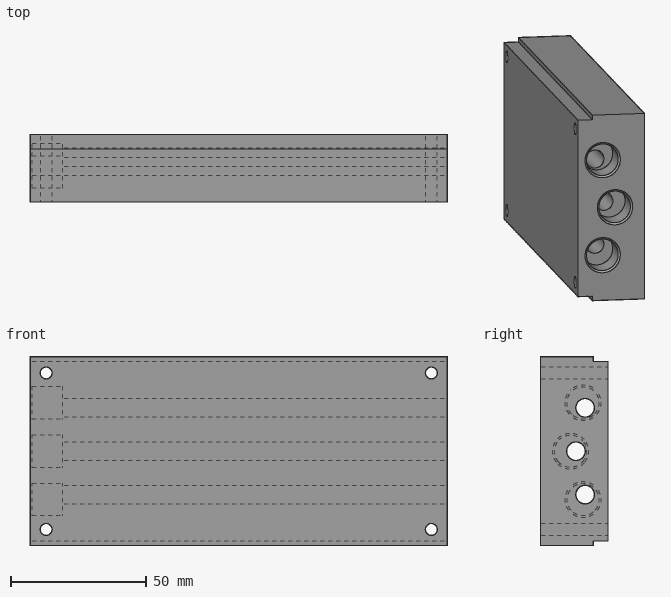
import cadquery as cq

LENGTH = 154.5
DEPTH = 25.0
HEIGHT = 70.0
LEFT_END = -LENGTH / 2
BACK = DEPTH / 2

REBATE_DEPTH = 5.4
REBATE_HEIGHT = 1.7

MOUNT_DIAMETER = 4.3
MOUNT_SPACING_X = 142.6
MOUNT_SPACING_Z = 58.0

PORT_DIAMETER = 11.9
PORT_MOUTH_DIAMETER = 13.3
PORT_DEPTH = 12.0
OUTER_PORT_Y = 3.2
OUTER_PORT_Z = 17.9
MIDDLE_PORT_Y = -1.4

GALLERY_DIAMETER = 6.8
OUTER_GALLERY_Y = 4.0
OUTER_GALLERY_Z = 16.0
MIDDLE_GALLERY_Y = 0.6


def block():
    """Rectangular block with its back face stepped in at the top and bottom."""
    body = cq.Workplane("XY").box(LENGTH, DEPTH, HEIGHT)
    rebate = cq.Workplane("XY").box(LENGTH, REBATE_DEPTH, REBATE_HEIGHT)
    rebate_y = BACK - REBATE_DEPTH / 2
    rebate_z = (HEIGHT - REBATE_HEIGHT) / 2
    for z in (-rebate_z, rebate_z):
        body = body.cut(rebate.translate((0, rebate_y, z)))
    return body


def mounting_holes():
    """Four plain holes through the depth, one near each corner."""
    return (
        cq.Workplane("XZ", origin=(0, BACK, 0))
        .rarray(MOUNT_SPACING_X, MOUNT_SPACING_Z, 2, 2)
        .circle(MOUNT_DIAMETER / 2)
        .extrude(DEPTH)
    )


def left_end_circle(y, z, diameter):
    """Circle on the left end, ready to be extruded or lofted in +X."""
    return cq.Workplane("YZ", origin=(LEFT_END, y, z)).circle(diameter / 2)


def port(y, z):
    """Flat-bottomed port with a 45 degree chamfer at its mouth."""
    chamfer = (PORT_MOUTH_DIAMETER - PORT_DIAMETER) / 2
    mouth = (
        left_end_circle(y, z, PORT_MOUTH_DIAMETER)
        .workplane(offset=chamfer)
        .circle(PORT_DIAMETER / 2)
        .loft()
    )
    return left_end_circle(y, z, PORT_DIAMETER).extrude(PORT_DEPTH).union(mouth)


def gallery(y, z):
    """Plain hole from the left end to the right end."""
    return left_end_circle(y, z, GALLERY_DIAMETER).extrude(LENGTH)


result = block().cut(mounting_holes())

for side in (-1, 1):
    result = result.cut(port(OUTER_PORT_Y, side * OUTER_PORT_Z))
    result = result.cut(gallery(OUTER_GALLERY_Y, side * OUTER_GALLERY_Z))

result = result.cut(port(MIDDLE_PORT_Y, 0))
result = result.cut(gallery(MIDDLE_GALLERY_Y, 0))